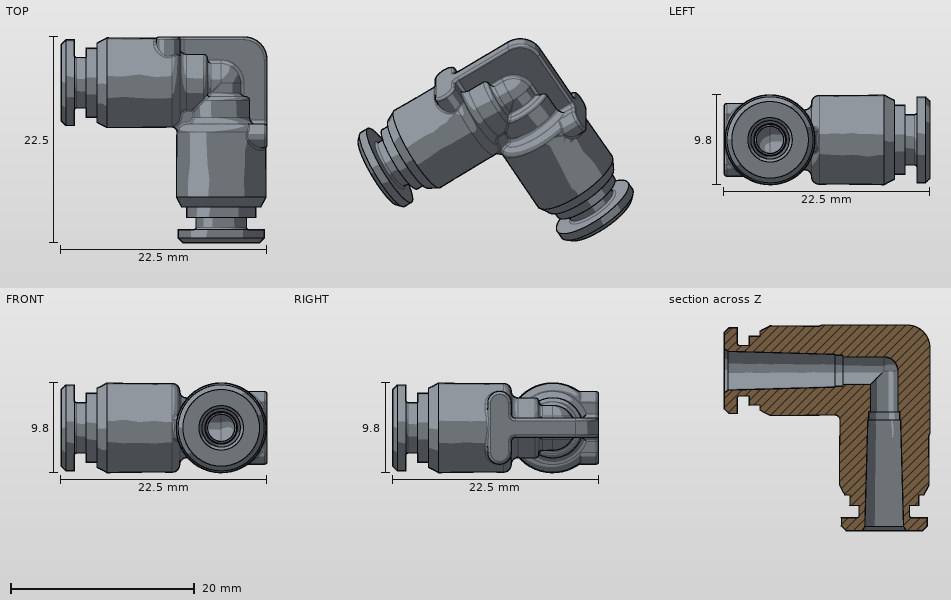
import cadquery as cq
import math


arm_length = 17.45
collar_radius = 4.7
collar_thickness = 1.44
collar_chamfer = 0.52
collar_neck_radius = 2.76
collar_neck_fillet = 0.25
ring_radius = 3.77
ring_end = 14.7

sleeve_end = 13.55
sleeve_end_radius = 4.3
sleeve_diameter = 9.8
sleeve_radius = sleeve_diameter / 2
sleeve_cone_end = 12.44
sleeve_root_radius = 4.85
sleeve_root = 4.51
sleeve_rounding = 0.85

neck_radius = 3.28
neck_root_fillet = sleeve_root_radius - sleeve_rounding - neck_radius
neck_end = 1.5
neck_rounding = 0.45
elbow_radius = 2.45
elbow_root_fillet = 0.45
neck_end_fillet = neck_radius - neck_rounding - elbow_radius
crease_fillet = 0.22

plate_edge = 5.0
plate_half_thickness = 1.05
plate_corner_radius = 2.51
plate_edge_rounding = 0.31
plate_root_fillet = 0.45

pad_half_thickness = 1.3
pad_edge_rounding = 0.4
pad_root_fillet = 0.22
pad_diagonal = 10.01
pad_half_width = 0.9

lug_radius = 1.28
lug_station = sleeve_root + lug_radius
lug_half_height = 3.97
lug_inner_end = 2.7
lug_root_fillet = 0.3

mouth_radius = 2.42
mouth_depth = 0.45
tube_diameter = 4.2
tube_radius = tube_diameter / 2
tube_end_radius = 1.77
tube_end = 5.39
stop_radius = 1.68
stop_end = 4.5
bore_radius = 1.48

tolerance = 0.05


def along_x_and_y(shape):
    """Return the shape of the X arm together with its copy for the Y arm."""
    turned = shape.rotate((0, 0, 0), (0, 0, 1), 90).mirror("YZ")
    return shape, turned


def corner_arc(sketch, start, end, center):
    """Add a quarter arc from the sketch's current point, start, to end about center."""
    radius = math.dist(start, center)
    bulge_x = (start[0] + end[0]) / 2 - center[0]
    bulge_y = (start[1] + end[1]) / 2 - center[1]
    reach = radius / math.hypot(bulge_x, bulge_y)
    middle = (center[0] + bulge_x * reach, center[1] + bulge_y * reach)
    return sketch.threePointArc(middle, end)


def revolve_about_x(profile):
    return profile.close().revolve(360, (0, 0, 0), (1, 0, 0))


def make_arm():
    """Solid X arm from the release collar to the centre of the elbow."""
    collar_back = arm_length - collar_thickness
    p = cq.Workplane("XY").moveTo(-arm_length, 0).lineTo(-arm_length, collar_radius - collar_chamfer)
    p = p.lineTo(-arm_length + collar_chamfer, collar_radius).lineTo(-collar_back, collar_radius)
    fillet_top = collar_neck_radius + collar_neck_fillet
    fillet_foot = -collar_back + collar_neck_fillet
    p = p.lineTo(-collar_back, fillet_top)
    p = corner_arc(p, (-collar_back, fillet_top), (fillet_foot, collar_neck_radius), (fillet_foot, fillet_top))
    p = p.lineTo(-ring_end, collar_neck_radius).lineTo(-ring_end, ring_radius)
    p = p.lineTo(-sleeve_end, ring_radius).lineTo(-sleeve_end, sleeve_end_radius)
    p = p.lineTo(-sleeve_cone_end, sleeve_radius)

    shoulder_x = -sleeve_root - sleeve_rounding
    shoulder_r = sleeve_root_radius - sleeve_rounding
    neck_start = -sleeve_root + neck_root_fillet
    p = p.lineTo(shoulder_x, sleeve_root_radius)
    p = corner_arc(p, (shoulder_x, sleeve_root_radius), (-sleeve_root, shoulder_r), (shoulder_x, shoulder_r))
    p = corner_arc(p, (-sleeve_root, shoulder_r), (neck_start, neck_radius), (neck_start, shoulder_r))

    round_x = -neck_end - neck_rounding
    round_r = neck_radius - neck_rounding
    elbow_start = -neck_end + neck_end_fillet
    p = p.lineTo(round_x, neck_radius)
    p = corner_arc(p, (round_x, neck_radius), (-neck_end, round_r), (round_x, round_r))
    p = corner_arc(p, (-neck_end, round_r), (elbow_start, elbow_radius), (elbow_start, round_r))
    p = p.lineTo(0, elbow_radius).lineTo(0, 0)
    return revolve_about_x(p)


def make_bore():
    """Bore of the X arm: mouth cone, tapered tube socket, tube stop and inner passage."""
    p = cq.Workplane("XY").moveTo(-arm_length, 0).lineTo(-arm_length, mouth_radius)
    p = p.lineTo(-arm_length + mouth_depth, tube_radius).lineTo(-tube_end, tube_end_radius)
    p = p.lineTo(-tube_end, stop_radius).lineTo(-stop_end, stop_radius)
    p = p.lineTo(-stop_end, bore_radius).lineTo(0, bore_radius).lineTo(0, 0)
    return revolve_about_x(p)


def make_lug():
    """Round-ended slot shape standing across the plate beside the X arm."""
    slot = cq.Workplane("XZ", origin=(-lug_station, lug_inner_end, 0))
    return slot.slot2D(2 * lug_half_height, 2 * lug_radius, 90).extrude(lug_inner_end - plate_edge)


def make_plate():
    """L-shaped plate with a round outer corner, carrying both lugs."""
    outline = [
        (-lug_station, plate_edge),
        (plate_edge, plate_edge),
        (plate_edge, -lug_station),
        (0, -lug_station),
        (0, 0),
        (-lug_station, 0),
    ]
    plate = cq.Workplane("XY").workplane(offset=-plate_half_thickness)
    plate = plate.polyline(outline).close().extrude(2 * plate_half_thickness)
    plate = plate.edges(cq.selectors.NearestToPointSelector((plate_edge, plate_edge, 0)))
    plate = plate.fillet(plate_corner_radius)
    for lug in along_x_and_y(make_lug()):
        plate = plate.union(lug)

    root_middle = (lug_inner_end + plate_edge) / 2
    for side in (-plate_half_thickness, plate_half_thickness):
        for point in ((-sleeve_root, root_middle, side), (root_middle, -sleeve_root, side)):
            plate = plate.edges(cq.selectors.NearestToPointSelector(point)).fillet(plate_root_fillet)
    return plate.faces(">Y").edges(">Z").fillet(plate_edge_rounding)


def make_pad():
    """Pad with its rounded outer edge running diagonally across the inside corner."""
    middle = -pad_diagonal / 2
    pad = cq.Workplane("XY").workplane(offset=-pad_half_thickness).polyline([
        (0, 0),
        (middle - pad_half_width, middle + pad_half_width),
        (middle + pad_half_width, middle - pad_half_width),
    ]).close().extrude(2 * pad_half_thickness)
    outer_face = pad.faces(cq.selectors.NearestToPointSelector((middle, middle, 0)))
    return outer_face.edges("#Z").fillet(pad_edge_rounding)


def make_elbow_on_plate():
    """Plate carrying the ball-cornered elbow, with a fillet around the outer side of the bend."""
    straight = cq.Workplane("YZ").circle(elbow_radius).extrude(-neck_end - neck_rounding)
    elbow = cq.Workplane("XY").sphere(elbow_radius)
    for leg in along_x_and_y(straight):
        elbow = elbow.union(leg)
    elbow = make_plate().union(elbow)
    for side in (-plate_half_thickness, plate_half_thickness):
        root = math.sqrt((elbow_radius ** 2 - side ** 2) / 2)
        bend_root = cq.selectors.NearestToPointSelector((root, root, side))
        elbow = elbow.edges(bend_root).fillet(elbow_root_fillet)
    return elbow


def make_arms():
    """Both arms joined, with the crease between their necks filleted."""
    arm, other_arm = along_x_and_y(make_arm())
    arms = arm.union(other_arm).union(cq.Workplane("XY").sphere(elbow_radius))
    crease_reach = neck_radius + tolerance
    crease = cq.selectors.BoxSelector((-crease_reach,) * 3, (-tolerance, -tolerance, crease_reach))
    return arms.edges(crease).edges("%ELLIPSE or %BSPLINE").fillet(crease_fillet)


def fillet_lug_roots(body):
    """Fillet the curved seams between the lugs and the sleeves."""
    low = (-lug_station - lug_radius - tolerance, lug_inner_end, -lug_half_height)
    high = (-sleeve_root - tolerance, plate_edge - plate_edge_rounding - tolerance, lug_half_height)
    for near, far in ((low, high), (low[1::-1] + low[2:], high[1::-1] + high[2:])):
        seams = body.edges(cq.selectors.BoxSelector(near, far)).edges("%BSPLINE or %CIRCLE")
        body = seams.fillet(lug_root_fillet)
    return body


def fillet_pad_roots(body):
    """Fillet the seams between the flat faces of the pad and the arms."""
    limit = pad_half_thickness + tolerance
    low = (-pad_diagonal / 2, -pad_diagonal / 2, -limit)
    high = (-neck_end, -neck_end, limit)
    around_pad = body.edges(cq.selectors.BoxSelector(low, high))
    on_faces = around_pad.filter(lambda edge: abs(abs(edge.Center().z) - pad_half_thickness) < tolerance)
    return on_faces.fillet(pad_root_fillet)


body = make_arms().union(make_elbow_on_plate())
body = fillet_lug_roots(body)
body = body.union(make_pad())
body = fillet_pad_roots(body)
for bore in along_x_and_y(make_bore()):
    body = body.cut(bore)
result = body.cut(cq.Workplane("XY").sphere(bore_radius))